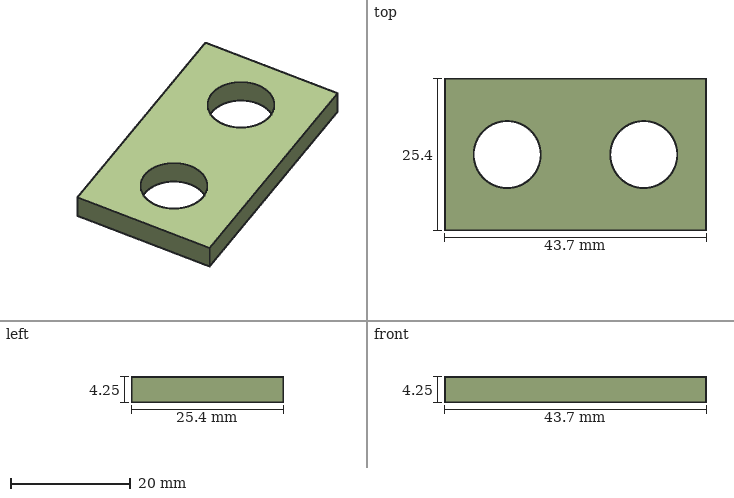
import cadquery as cq

plate_length = 43.69
plate_width = 25.4
plate_thickness = 4.25

hole_diameter = 11.18
hole_spacing = 22.86


def make_plate():
    """Flat rectangular plate centred in X and Y, resting on Z = 0."""
    return cq.Workplane("XY").box(
        plate_length, plate_width, plate_thickness, centered=(True, True, False)
    )


def drill_holes(plate):
    """Drill the pair of through holes, spaced along X."""
    hole_centres = [(side * hole_spacing / 2, 0) for side in (-1, 1)]
    return plate.faces(">Z").workplane().pushPoints(hole_centres).hole(hole_diameter)


result = drill_holes(make_plate())